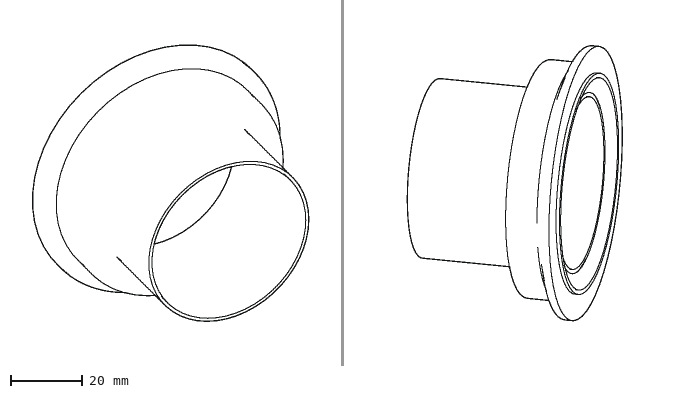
import cadquery as cq
import math

total_length = 46.0

flange_radius = 77.5 / 2
flange_front = 1.0
rim_end = 3.5
taper_angle = 20.0
rim_fillet = 0.8
taper_root_fillet = 0.8

face_radius = 31.25
groove_outer_radius = 30.0
groove_inner_radius = 25.6
groove_wall_depth = 0.8
groove_floor_radius = 2.5

collar_radius = 33.75
collar_end = 15.2
collar_fillet = 0.8
tube_root_fillet = 0.9

tube_radius = 25.4
bore_radius = 24.4

floor_centre_radius = groove_outer_radius - groove_floor_radius
lip_drop = floor_centre_radius - groove_inner_radius
lip_recess = groove_wall_depth + math.sqrt(groove_floor_radius**2 - lip_drop**2)

taper_end = rim_end + (flange_radius - collar_radius) * math.tan(math.radians(taper_angle))


def revolve_about_x(profile):
    """Turn a closed XY profile (X = axial, Y = radial) a full turn about X."""
    return profile.close().revolve(360, (0, 0, 0), (1, 0, 0))


def fillet_circle(body, x, radius, fillet_radius):
    """Round the circular edge of the given radius at axial position x."""
    tolerance = 0.01
    outer = radius + tolerance
    edge_box = cq.selectors.BoxSelector(
        (x - tolerance, -outer, -outer), (x + tolerance, outer, outer), boundingbox=True
    )
    edges = [e for e in body.edges(edge_box).vals() if abs(e.radius() - radius) < tolerance]
    return body.newObject(edges).fillet(fillet_radius)


def make_body():
    groove_bottom = (groove_wall_depth + groove_floor_radius, floor_centre_radius)
    body = revolve_about_x(
        cq.Workplane("XY")
        .moveTo(lip_recess, bore_radius)
        .lineTo(lip_recess, groove_inner_radius)
        .threePointArc(groove_bottom, (groove_wall_depth, groove_outer_radius))
        .lineTo(0, groove_outer_radius)
        .lineTo(0, face_radius)
        .lineTo(flange_front, face_radius)
        .lineTo(flange_front, flange_radius)
        .lineTo(rim_end, flange_radius)
        .lineTo(taper_end, collar_radius)
        .lineTo(collar_end, collar_radius)
        .lineTo(collar_end, tube_radius)
        .lineTo(total_length, tube_radius)
        .lineTo(total_length, bore_radius)
    )
    body = fillet_circle(body, rim_end, flange_radius, rim_fillet)
    body = fillet_circle(body, taper_end, collar_radius, taper_root_fillet)
    body = fillet_circle(body, collar_end, collar_radius, collar_fillet)
    return fillet_circle(body, collar_end, tube_radius, tube_root_fillet)


result = make_body()